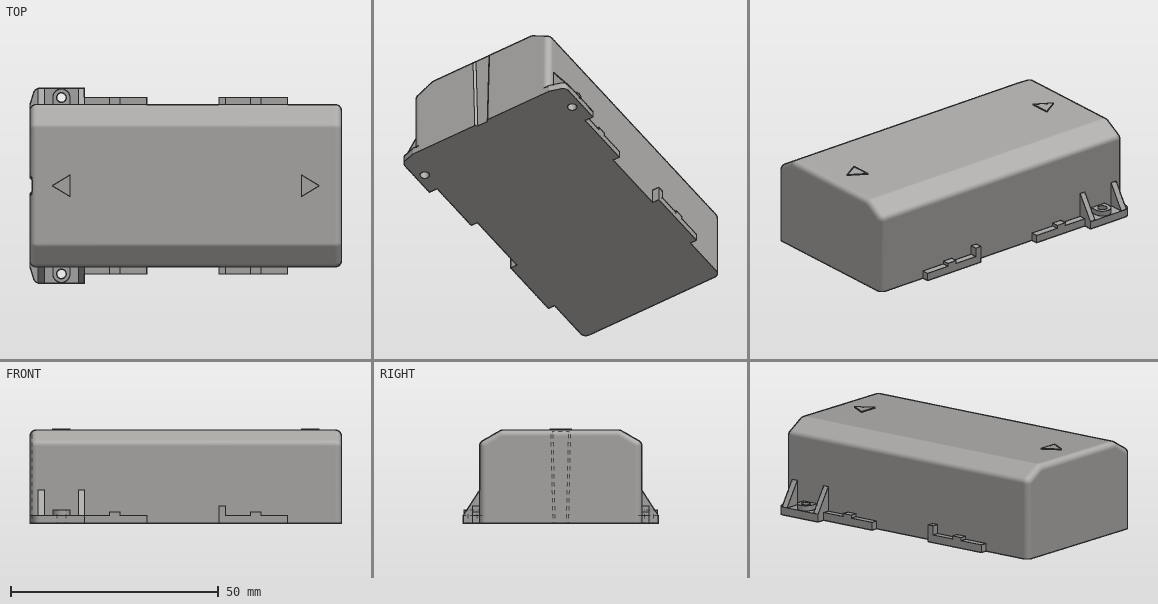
import cadquery as cq
import math

LENGTH = 75.0
BODY_HALF_WIDTH = 39.1 / 2
BODY_HEIGHT = 22.5
SHOULDER_DROP = 3.0
SHOULDER_ANGLE = 30.0
EDGE_RADIUS = 1.5

BASE_THICKNESS = 1.95
SIDES = (-1, 1)
OVERLAP = 1.5

EAR_HALF_WIDTH = 47.0 / 2
EAR_LENGTH = 13.1
EAR_TIP_SETBACK = 1.2
EAR_CORNER_RADIUS = 1.65
EAR_RIB_SPANS = ((1.95, 3.5), (11.7, EAR_LENGTH))
EAR_RIB_TOP = 8.0
EAR_RIB_INSET = 0.1
SCREW_X = 7.6
SCREW_Y = 21.2
SCREW_HOLE_DIAMETER = 2.25
BOSS_DIAMETER = 4.1
BOSS_TOP = 3.2

RAIL_HALF_WIDTH = 21.3
RAIL_SPANS = ((EAR_LENGTH, 28.1), (45.45, 62.0))
BUMP_STARTS = (19.1, 53.1)
BUMP_LENGTH = 2.55
BUMP_TOP = 2.7
STOP_LENGTH = 1.6
STOP_TOP = 4.2

GROOVE_DEPTH = 0.5
GROOVE_WALL_SPREAD = 0.5
GROOVE_FLOOR_HALF_BOTTOM = 1.35
GROOVE_FLOOR_HALF_TOP = 1.9

ARROW_LENGTH = 4.3
ARROW_HALF_WIDTH = 2.6
ARROW_HEIGHT = 0.2
ARROW_TIP_INSET = 5.4


def side_block(side, x_start, x_end, half_width, top):
    """Box on the base that stands out of one long side of the body."""
    inner_y = side * (BODY_HALF_WIDTH - OVERLAP)
    outer_y = side * half_width
    return (
        cq.Workplane("XY", origin=(x_start, min(inner_y, outer_y), 0))
        .box(x_end - x_start, abs(outer_y - inner_y), top, centered=False)
    )


def make_body():
    """Long block with sloping shoulders and rounded outer edges."""
    shoulder_z = BODY_HEIGHT - SHOULDER_DROP
    top_half_width = BODY_HALF_WIDTH - SHOULDER_DROP / math.tan(math.radians(SHOULDER_ANGLE))
    section = [
        (-BODY_HALF_WIDTH, 0),
        (BODY_HALF_WIDTH, 0),
        (BODY_HALF_WIDTH, shoulder_z),
        (top_half_width, BODY_HEIGHT),
        (-top_half_width, BODY_HEIGHT),
        (-BODY_HALF_WIDTH, shoulder_z),
    ]
    prism = cq.Workplane("YZ").polyline(section).close().extrude(LENGTH)
    return prism.edges("not <Z").fillet(EDGE_RADIUS)


def make_ear_plate():
    """Base plate across the body whose ends form the two mounting ears."""
    outline = [
        (0, -BODY_HALF_WIDTH),
        (EAR_TIP_SETBACK, -EAR_HALF_WIDTH),
        (EAR_LENGTH, -EAR_HALF_WIDTH),
        (EAR_LENGTH, EAR_HALF_WIDTH),
        (EAR_TIP_SETBACK, EAR_HALF_WIDTH),
        (0, BODY_HALF_WIDTH),
    ]
    plate = cq.Workplane("XY").polyline(outline).close().extrude(BASE_THICKNESS)
    for side in SIDES:
        tip_middle = (EAR_TIP_SETBACK, side * EAR_HALF_WIDTH, BASE_THICKNESS / 2)
        tip = cq.selectors.NearestToPointSelector(tip_middle)
        plate = plate.edges(tip).fillet(EAR_CORNER_RADIUS)
    return plate


def make_ear_rib(side, x_start, x_end):
    """Triangular gusset between an ear and the body side."""
    inner_y = side * (BODY_HALF_WIDTH - OVERLAP)
    foot_y = side * (EAR_HALF_WIDTH - EAR_RIB_INSET)
    profile = [
        (inner_y, 0),
        (foot_y, 0),
        (foot_y, BASE_THICKNESS),
        (side * BODY_HALF_WIDTH, EAR_RIB_TOP),
        (inner_y, EAR_RIB_TOP),
    ]
    return (
        cq.Workplane("YZ", origin=(x_start, 0, 0))
        .polyline(profile).close()
        .extrude(x_end - x_start)
    )


def make_boss(side):
    """Screw boss, round outside and running straight into the body side."""
    radius = BOSS_DIAMETER / 2
    round_end = (
        cq.Workplane("XY")
        .center(SCREW_X, side * SCREW_Y)
        .circle(radius)
        .extrude(BOSS_TOP)
    )
    return round_end.union(side_block(side, SCREW_X - radius, SCREW_X + radius, SCREW_Y, BOSS_TOP))


def make_rails(side):
    """Two base rails with a small bump each, the rear one with an end stop."""
    stop_x = RAIL_SPANS[1][0]
    rails = side_block(side, stop_x, stop_x + STOP_LENGTH, RAIL_HALF_WIDTH, STOP_TOP)
    for x_start, x_end in RAIL_SPANS:
        rails = rails.union(side_block(side, x_start, x_end, RAIL_HALF_WIDTH, BASE_THICKNESS))
    for x_start in BUMP_STARTS:
        rails = rails.union(side_block(side, x_start, x_start + BUMP_LENGTH, RAIL_HALF_WIDTH, BUMP_TOP))
    return rails


def make_groove():
    """Groove with sloping walls, wider at the top than at the base."""
    def section(floor_half):
        mouth_half = floor_half + GROOVE_WALL_SPREAD
        return [
            (0, -mouth_half),
            (GROOVE_DEPTH, -floor_half),
            (GROOVE_DEPTH, floor_half),
            (0, mouth_half),
        ]

    return (
        cq.Workplane("XY")
        .polyline(section(GROOVE_FLOOR_HALF_BOTTOM)).close()
        .workplane(offset=BODY_HEIGHT)
        .polyline(section(GROOVE_FLOOR_HALF_TOP)).close()
        .loft(ruled=True)
    )


def make_arrow(tip_x, direction):
    """Thin triangular marker on the top face, pointing along X."""
    base_x = tip_x - direction * ARROW_LENGTH
    return (
        cq.Workplane("XY", origin=(0, 0, BODY_HEIGHT))
        .polyline([(tip_x, 0), (base_x, ARROW_HALF_WIDTH), (base_x, -ARROW_HALF_WIDTH)]).close()
        .extrude(ARROW_HEIGHT)
    )


result = make_body().union(make_ear_plate())
for side in SIDES:
    for rib_start, rib_end in EAR_RIB_SPANS:
        result = result.union(make_ear_rib(side, rib_start, rib_end))
    result = result.union(make_boss(side)).union(make_rails(side))

screw_holes = (
    cq.Workplane("XY")
    .pushPoints([(SCREW_X, side * SCREW_Y) for side in SIDES])
    .circle(SCREW_HOLE_DIAMETER / 2)
    .extrude(BOSS_TOP)
)
result = result.cut(screw_holes).cut(make_groove())
result = result.union(make_arrow(ARROW_TIP_INSET, -1))
result = result.union(make_arrow(LENGTH - ARROW_TIP_INSET, 1))